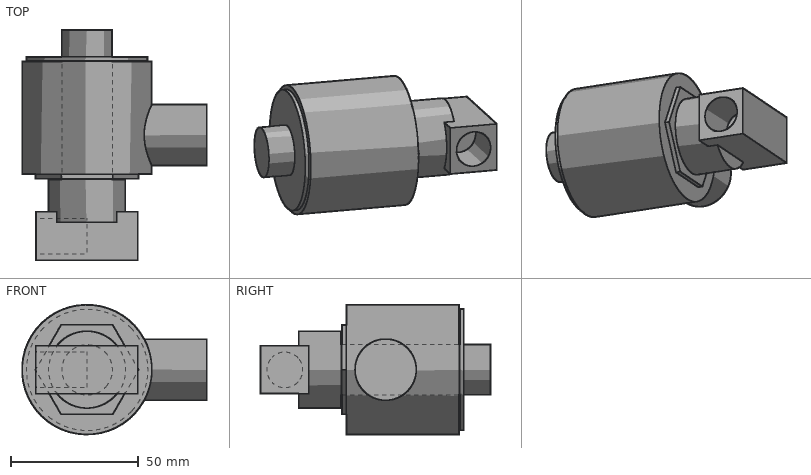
import cadquery as cq
import math


housing_diameter = 50.8
housing_length = 44.1
arm_diameter = 24.0
arm_reach = 46.95
arm_center_y = 15.3
hex_flats = 35.0
hex_thickness = 1.8

end_gap = 0.3
rod_diameter = 19.7
rod_end_y = 56.4
neck_diameter = 30.1
neck_end_y = -18.7
cap_diameter = 47.5
cap_end_y = 45.9
block_width = 39.9
block_length = 19.0
block_height = 18.8
block_front_y = -33.7
port_diameter = 14.0
port_depth = block_width / 2

block_center_y = block_front_y + block_length / 2


def rod(diameter, y_start, y_end):
    """Cylinder on the main axis between two Y positions."""
    plane = cq.Workplane("XZ", origin=(0, y_start, 0))
    return plane.circle(diameter / 2).extrude(y_start - y_end)


def make_housing():
    """Round housing with a side arm and a hexagon, bored through for the stem."""
    barrel = rod(housing_diameter, 0, housing_length)
    arm = cq.Workplane("YZ").center(arm_center_y, 0).circle(arm_diameter / 2).extrude(arm_reach)
    hex_corners = hex_flats / math.cos(math.radians(30))
    hexagon = cq.Workplane("XZ").polygon(6, hex_corners).extrude(hex_thickness)
    bore = rod(rod_diameter, -hex_thickness, housing_length)
    return barrel.union(arm).union(hexagon).cut(bore)


def make_stem():
    """Rod with a neck, a cap and a block, which has a blind port in its -X end."""
    neck_start_y = -hex_thickness - end_gap
    core = rod(rod_diameter, neck_end_y, rod_end_y)
    neck = rod(neck_diameter, neck_end_y, neck_start_y)
    cap = rod(cap_diameter, housing_length + end_gap, cap_end_y)
    block = cq.Workplane("XY").box(block_width, block_length, block_height)
    block = block.translate((0, block_center_y, 0))
    port_plane = cq.Workplane("YZ", origin=(-block_width / 2, block_center_y, 0))
    port = port_plane.circle(port_diameter / 2).extrude(port_depth)
    return core.union(neck).union(cap).union(block).cut(port)


housing = make_housing()
stem = make_stem()

result = cq.Compound.makeCompound([housing.val(), stem.val()])